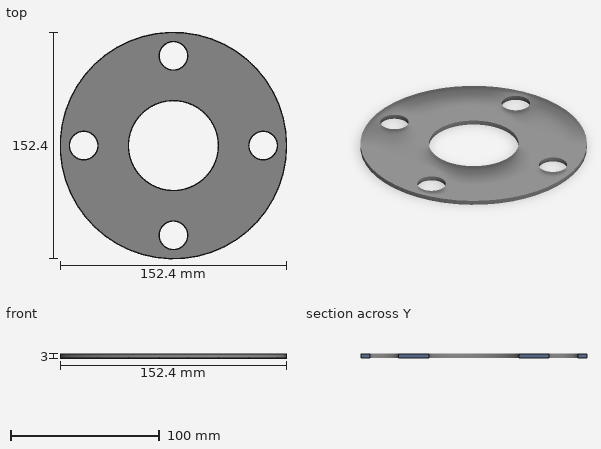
import cadquery as cq

outer_diameter = 152.4
thickness = 3.0
bore_diameter = 60.4
bolt_hole_diameter = 19.0
bolt_hole_count = 4
bolt_circle_radius = 60.4

ring = (
    cq.Workplane("XY")
    .circle(outer_diameter / 2)
    .circle(bore_diameter / 2)
    .extrude(thickness)
)

result = (
    ring.faces(">Z")
    .workplane(origin=(0, 0, thickness))
    .polarArray(bolt_circle_radius, 0, 360, bolt_hole_count)
    .hole(bolt_hole_diameter)
)